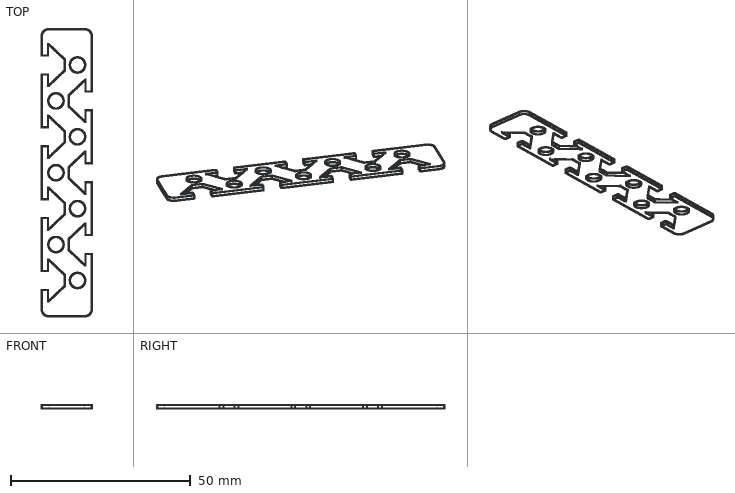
import cadquery as cq

width = 14.0
length = 80.0
thickness = 1.0
corner_radius = 2.0

station_pitch = 10.0
station_count = 7
lip_depth = 1.8
slot_depth = 6.4
mouth_width = 5.2
cavity_width = 11.8
floor_width = 3.1

hole_diameter = 4.2
hole_offset = 3.0


def make_plate():
    """Flat plate with rounded corners, centred on X and Y, resting on Z = 0."""
    plate = cq.Workplane("XY").box(width, length, thickness, centered=(True, True, False))
    return plate.edges("|Z").fillet(corner_radius)


def slot_cutter(side, y):
    """T-slot opening at the edge on the given side (-1 for -X, 1 for +X)."""
    edge_x = side * width / 2
    lip_x = side * (width / 2 - lip_depth)
    floor_x = side * (width / 2 - slot_depth)
    outline = [
        (edge_x, y + mouth_width / 2),
        (lip_x, y + mouth_width / 2),
        (lip_x, y + cavity_width / 2),
        (floor_x, y + floor_width / 2),
        (floor_x, y - floor_width / 2),
        (lip_x, y - cavity_width / 2),
        (lip_x, y - mouth_width / 2),
        (edge_x, y - mouth_width / 2),
    ]
    return cq.Workplane("XY").polyline(outline).close().extrude(thickness)


def hole_cutter(side, y):
    """Through hole on the given side of the centreline."""
    return cq.Workplane("XY").center(side * hole_offset, y).circle(hole_diameter / 2).extrude(thickness)


result = make_plate()
for station in range(station_count):
    station_y = (station - (station_count - 1) / 2) * station_pitch
    slot_side = -1 if station % 2 == 0 else 1
    result = result.cut(slot_cutter(slot_side, station_y))
    result = result.cut(hole_cutter(-slot_side, station_y))